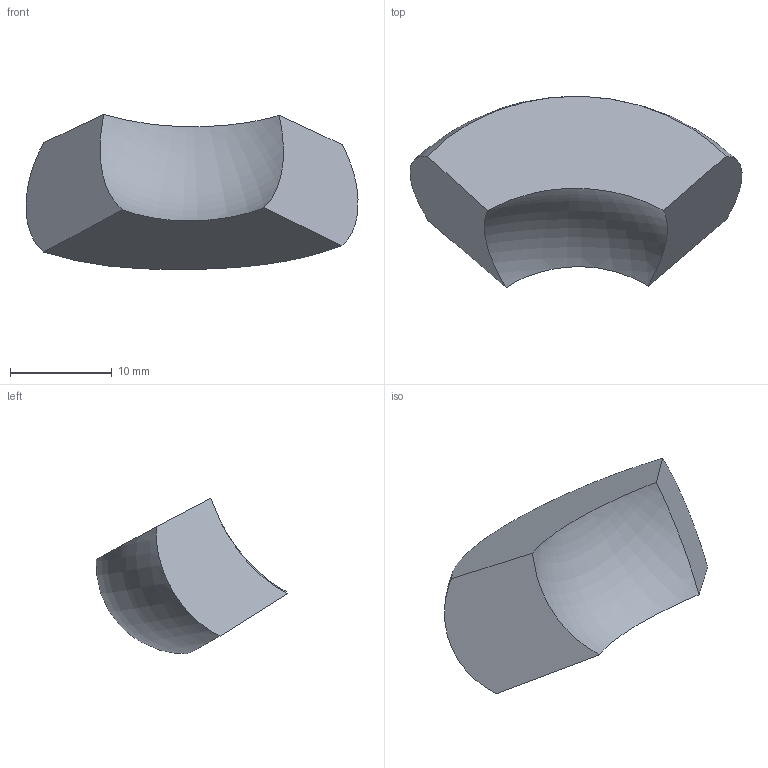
import cadquery as cq
import math


wedge_angle = 90.0
wedge_reach = 40.0

upper_height = 11.29
upper_slope_about_x = 3.15
upper_slope_about_y = 1.35

outer_ring_radius = 14.3
outer_tube_radius = 8.65
outer_center = (0.0, 0.75, 2.8)
outer_lean = 19.2

inner_long_radius = 15.04
inner_short_radius = 12.83
inner_center = (0.216, -2.13, 9.72)
inner_lean = -46.7

tilt_about_x = -31.1
roll_about_y = -1.2
wedge_corner = (-0.15, -15.37, 2.0)


def make_wedge():
    """Prism standing on the lower face, bounded by the two flat ends."""
    half_angle = math.radians(wedge_angle / 2)
    half_width = wedge_reach * math.tan(half_angle)
    outline = [(0, 0), (half_width, wedge_reach), (-half_width, wedge_reach)]
    return cq.Workplane("XY").polyline(outline).close().extrude(wedge_reach)


def make_space_below_upper_face():
    """Large block whose top is the sloping upper face."""
    side = 4 * wedge_reach
    block = cq.Workplane("XY").box(side, side, side, centered=(True, True, False))
    block = block.translate((0, 0, -side))
    block = block.rotate((0, 0, 0), (1, 0, 0), upper_slope_about_x)
    block = block.rotate((0, 0, 0), (0, 1, 0), upper_slope_about_y)
    return block.translate((0, 0, upper_height))


def make_outer_body():
    """Solid disc with a round rim, which gives the bulging outer wall."""
    disc = (
        cq.Workplane("XZ")
        .moveTo(0, -outer_tube_radius)
        .lineTo(outer_ring_radius, -outer_tube_radius)
        .threePointArc(
            (outer_ring_radius + outer_tube_radius, 0),
            (outer_ring_radius, outer_tube_radius),
        )
        .lineTo(0, outer_tube_radius)
        .close()
        .revolve(360, (0, 0, 0), (0, 1, 0))
    )
    return disc.rotate((0, 0, 0), (1, 0, 0), outer_lean).translate(outer_center)


def make_inner_ball():
    """Flattened ball that hollows out the inner wall."""
    ball = (
        cq.Workplane("XZ")
        .moveTo(0, -inner_short_radius)
        .ellipseArc(inner_long_radius, inner_short_radius, -90, 90, startAtCurrent=True)
        .close()
        .revolve(360, (0, 0, 0), (0, 1, 0))
    )
    return ball.rotate((0, 0, 0), (1, 0, 0), inner_lean).translate(inner_center)


def place(segment):
    """Lean the segment over and move the corner of its wedge into position."""
    segment = segment.rotate((0, 0, 0), (1, 0, 0), tilt_about_x)
    segment = segment.rotate((0, 0, 0), (0, 1, 0), roll_about_y)
    return segment.translate(wedge_corner)


segment = make_wedge().intersect(make_space_below_upper_face())
segment = segment.intersect(make_outer_body())
segment = segment.cut(make_inner_ball())
result = place(segment)